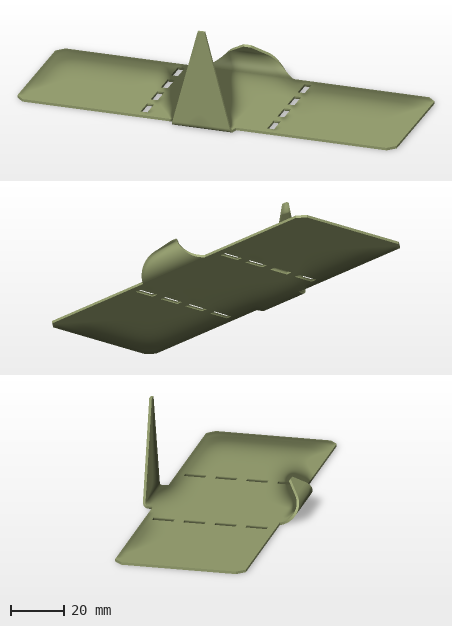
import cadquery as cq
import math

length = 150.0
overall_depth = 60.0
overall_height = 40.0
thickness = 1.0

plate_depth = 50.4
corner_chamfer = 3.0

slot_width = 2.7
slot_length = 8.1
slot_pitch = 12.0
slots_per_row = 4
row_spacing = 50.1

hook_neck = 0.5
hook_bend_radius = 4.0
hook_bend_angle = 135.0
hook_leg = 5.5
hook_root_width = 36.6
hook_tip_width = 3.0

spike_bend_radius = 1.0
spike_bend_angle = 90.0
spike_root_width = 25.0
spike_tip_width = 2.7

hook_reach = hook_neck + hook_bend_radius + thickness
spike_bend_reach = spike_bend_radius + thickness
spike_neck = overall_depth - plate_depth - hook_reach - spike_bend_reach
spike_leg = overall_height - spike_bend_reach

curve_steps = 12


def base_plate():
    plate = cq.Workplane("XY").box(length, plate_depth, thickness, centered=(True, True, False))
    plate = plate.edges("|Z").chamfer(corner_chamfer)
    slots = (
        cq.Workplane("XY")
        .rarray(row_spacing, slot_pitch, 2, slots_per_row)
        .rect(slot_width, slot_length)
        .extrude(thickness)
    )
    return plate.cut(slots)


def tapered_leg(plane, start_width, end_width, leg_length):
    """Flat sheet whose width tapers along the plane's local Y."""
    outline = [
        (-start_width / 2, 0),
        (start_width / 2, 0),
        (end_width / 2, leg_length),
        (-end_width / 2, leg_length),
    ]
    return cq.Workplane(plane).polyline(outline).close().extrude(thickness)


def tapered_bend(start_y, inner_radius, angle, start_width, end_width):
    """Sheet curling up from +Y, its width shrinking evenly with the bend angle."""
    outer_radius = inner_radius + thickness

    def side_point(radius, side, fraction):
        turn = angle * fraction
        half_width = (start_width + (end_width - start_width) * fraction) / 2
        return cq.Vector(
            side * half_width,
            start_y + radius * math.sin(turn),
            outer_radius - radius * math.cos(turn),
        )

    corners = [(inner_radius, -1), (inner_radius, 1), (outer_radius, 1), (outer_radius, -1)]
    rails = []
    for radius, side in corners:
        points = [side_point(radius, side, step / curve_steps) for step in range(curve_steps + 1)]
        rails.append(cq.Edge.makeSpline(points))

    faces = [cq.Face.makeRuledSurface(rails[i - 1], rails[i]) for i in range(len(rails))]
    for fraction in (0, 1):
        section = [side_point(radius, side, fraction) for radius, side in corners]
        faces.append(cq.Face.makeFromWires(cq.Wire.makePolygon(section, close=True)))
    return cq.Workplane(cq.Solid.makeSolid(cq.Shell.makeShell(faces)).fix())


def bent_flange(neck, inner_radius, angle_degrees, leg, root_width, tip_width):
    """Flat neck, bend and straight leg, tapering evenly along the unfolded sheet."""
    angle = math.radians(angle_degrees)
    bend_length = (inner_radius + thickness / 2) * angle
    taper = (root_width - tip_width) / (neck + bend_length + leg)
    bend_start_width = root_width - taper * neck
    bend_end_width = bend_start_width - taper * bend_length

    edge_y = plate_depth / 2
    bend_y = edge_y + neck
    flange = tapered_bend(bend_y, inner_radius, angle, bend_start_width, bend_end_width)

    outer_radius = inner_radius + thickness
    leg_start = (
        0,
        bend_y + outer_radius * math.sin(angle),
        outer_radius * (1 - math.cos(angle)),
    )
    inward = (0, -math.sin(angle), math.cos(angle))
    leg_plane = cq.Plane(origin=leg_start, xDir=(1, 0, 0), normal=inward)
    flange = flange.union(tapered_leg(leg_plane, bend_end_width, tip_width, leg))
    neck_plane = cq.Plane(origin=(0, edge_y, 0))
    flange = flange.union(tapered_leg(neck_plane, root_width, bend_start_width, neck))
    return flange


hook = bent_flange(
    hook_neck, hook_bend_radius, hook_bend_angle, hook_leg, hook_root_width, hook_tip_width
)
spike = bent_flange(
    spike_neck, spike_bend_radius, spike_bend_angle, spike_leg, spike_root_width, spike_tip_width
).rotate((0, 0, 0), (0, 0, 1), 180)

result = base_plate().union(hook).union(spike)